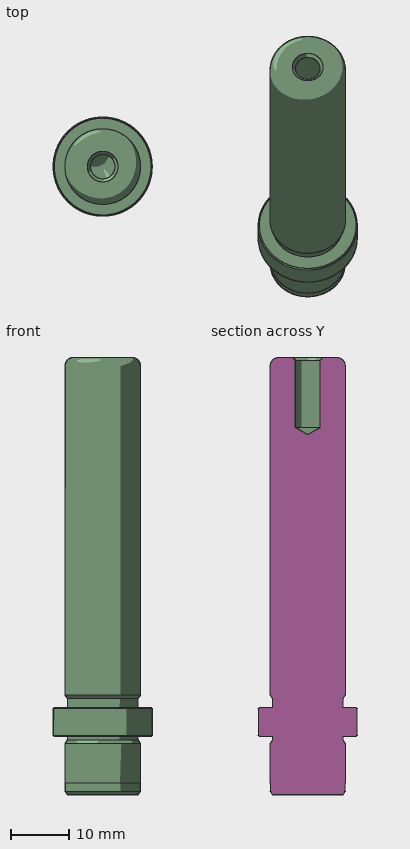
import cadquery as cq
import math

length = 75.0
shank_radius = 6.49
flange_radius = 8.51
neck_radius = 6.1

lead_top = 2.0
spigot_top = 8.8
lower_neck_start = 9.45
flange_bottom = 10.0
flange_top = 15.0
upper_neck_end = 16.5

top_round = 1.5
flange_chamfer = 0.2
shank_chamfer_height = 0.6
lead_radius = shank_radius - 0.04
foot_chamfer_width = 0.4
foot_chamfer_height = 0.6

hole_radius = 2.1
hole_mouth_radius = 2.6
hole_depth = 12.0
drill_point_angle = 120.0


def make_body():
    """Revolve the stepped outer outline about the Z axis."""
    round_start = length - top_round
    flat_radius = shank_radius - top_round
    arc_offset = top_round * math.sin(math.radians(45))
    arc_middle = (flat_radius + arc_offset, round_start + arc_offset)
    return (
        cq.Workplane("XZ")
        .moveTo(0, 0)
        .lineTo(lead_radius - foot_chamfer_width, 0)
        .lineTo(lead_radius, foot_chamfer_height)
        .lineTo(lead_radius, lead_top)
        .lineTo(shank_radius, lead_top)
        .lineTo(shank_radius, spigot_top)
        .lineTo(neck_radius, lower_neck_start)
        .lineTo(neck_radius, flange_bottom)
        .lineTo(flange_radius - flange_chamfer, flange_bottom)
        .lineTo(flange_radius, flange_bottom + flange_chamfer)
        .lineTo(flange_radius, flange_top - flange_chamfer)
        .lineTo(flange_radius - flange_chamfer, flange_top)
        .lineTo(neck_radius, flange_top)
        .lineTo(neck_radius, upper_neck_end)
        .lineTo(shank_radius, upper_neck_end + shank_chamfer_height)
        .lineTo(shank_radius, round_start)
        .threePointArc(arc_middle, (flat_radius, length))
        .lineTo(0, length)
        .close()
        .revolve(360, (0, 0, 0), (0, 1, 0))
    )


def make_hole():
    """Drilled hole with a conical bottom and a countersunk mouth."""
    hole_bottom = length - hole_depth
    point_height = hole_radius / math.tan(math.radians(drill_point_angle / 2))
    countersink_depth = hole_mouth_radius - hole_radius
    return (
        cq.Workplane("XZ")
        .moveTo(0, length)
        .lineTo(hole_mouth_radius, length)
        .lineTo(hole_radius, length - countersink_depth)
        .lineTo(hole_radius, hole_bottom)
        .lineTo(0, hole_bottom - point_height)
        .close()
        .revolve(360, (0, 0, 0), (0, 1, 0))
    )


result = make_body().cut(make_hole())